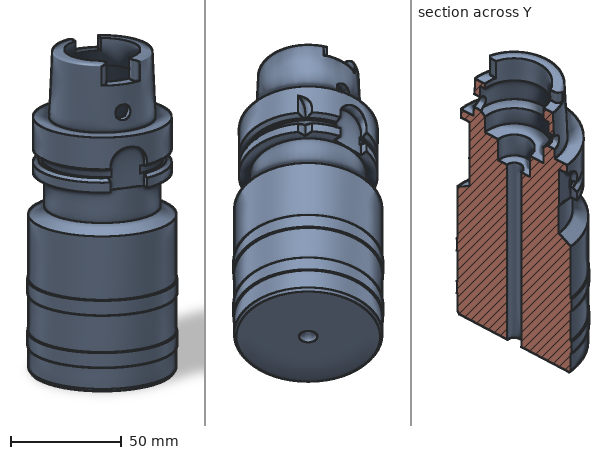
import cadquery as cq
import math

total_height = 152
taper_length = 31.9
flange_height = 26.1
neck_height = 16.0
shoulder_height = 4.1
flange_top = total_height - taper_length
flange_bottom = flange_top - flange_height
shoulder_top = flange_bottom - neck_height
body_top = shoulder_top - shoulder_height

body_radius = 33.6
band_chamfer = 0.38
band_radius = body_radius + band_chamfer
band_height = 7.6
band_bottoms = [11.4, 36.2]
bottom_chamfer_height = 1.5
bottom_chamfer_width = 1.0

neck_radius = 26.5
flange_radius = 31.5
groove_radius = 27.5
groove_width = 3.6
lower_rim_height = 6.1
groove_bottom = flange_bottom + lower_rim_height
groove_top = groove_bottom + groove_width
groove_lip_height = 1.4
groove_lip_width = 2.5

taper_base_radius = 24.2
taper_ratio = 0.045
taper_top_radius = taper_base_radius - taper_length * taper_ratio
taper_rounding = 1.4

bore_radius = 17.2
undercut_radius = 20.0
undercut_start_depth = 12.9
undercut_end_depth = 26.1
bore_depth = 38.0
counterbore_radius = 9.3
counterbore_depth = 12.2
through_hole_radius = 4.1

slot_width = 12.5
slot_edge_radius = 2.3
near_slot_depth = 6.0
far_slot_depth = 9.9

cross_hole_radius = 3.6
cross_hole_depth = 23.0

keyway_floor = 26.6
keyway_top_gap = 5.2
keyway_arch_top = flange_top - keyway_top_gap
near_keyway_width = 16.1
far_keyway_width = 18.0
notch_corner = 19.9
notch_width = 16.1
notch_top_gap = 4.3
notch_arch_top = flange_top - notch_top_gap


def outer_profile():
    """Half section of the outside, from the axis at the bottom to the axis at the top."""
    profile = (
        cq.Workplane("XZ")
        .lineTo(body_radius - bottom_chamfer_width, 0)
        .lineTo(body_radius, bottom_chamfer_height)
    )
    for bottom in band_bottoms:
        top = bottom + band_height
        profile = (
            profile.lineTo(body_radius, bottom)
            .lineTo(band_radius, bottom + band_chamfer)
            .lineTo(band_radius, top - band_chamfer)
            .lineTo(body_radius, top)
        )
    lip_radius = flange_radius - groove_lip_width
    return (
        profile.lineTo(body_radius, body_top)
        .lineTo(neck_radius, shoulder_top)
        .lineTo(neck_radius, flange_bottom)
        .lineTo(flange_radius, flange_bottom)
        .lineTo(flange_radius, groove_bottom - groove_lip_height)
        .lineTo(lip_radius, groove_bottom)
        .lineTo(groove_radius, groove_bottom)
        .lineTo(groove_radius, groove_top)
        .lineTo(lip_radius, groove_top)
        .lineTo(flange_radius, groove_top + groove_lip_height)
        .lineTo(flange_radius, flange_top)
        .lineTo(taper_base_radius, flange_top)
        .lineTo(taper_top_radius, total_height)
        .lineTo(0, total_height)
        .close()
    )


def bore_cavity():
    """Stepped inner bore with a wider undercut that closes in a 45 degree cone."""
    undercut_top = total_height - undercut_start_depth
    undercut_bottom = total_height - undercut_end_depth
    cone_bottom = undercut_bottom - (undercut_radius - bore_radius)
    bore_floor = total_height - bore_depth
    counterbore_floor = bore_floor - counterbore_depth
    return (
        cq.Workplane("XZ")
        .lineTo(through_hole_radius, 0)
        .lineTo(through_hole_radius, counterbore_floor)
        .lineTo(counterbore_radius, counterbore_floor)
        .lineTo(counterbore_radius, bore_floor)
        .lineTo(bore_radius, bore_floor)
        .lineTo(bore_radius, cone_bottom)
        .lineTo(undercut_radius, undercut_bottom)
        .lineTo(undercut_radius, undercut_top)
        .lineTo(bore_radius, undercut_top)
        .lineTo(bore_radius, total_height)
        .lineTo(0, total_height)
        .close()
        .revolve(360, (0, 0, 0), (0, 1, 0))
    )


def drive_slot(side, depth):
    """Slot towards +X (side = 1) or -X (side = -1), flaring out at the outer wall."""
    half_width = slot_width / 2
    floor = total_height - depth
    centre_y = half_width + slot_edge_radius
    centre_distance = taper_top_radius - slot_edge_radius
    centre_angle = math.asin(centre_y / centre_distance)
    centre_x = centre_distance * math.cos(centre_angle)
    flare_x = taper_top_radius * math.cos(centre_angle)
    flare_y = taper_top_radius * math.sin(centre_angle)
    middle_angle = (centre_angle - math.pi / 2) / 2
    middle_x = centre_x + slot_edge_radius * math.cos(middle_angle)
    middle_y = centre_y + slot_edge_radius * math.sin(middle_angle)
    return (
        cq.Workplane("XY", origin=(0, 0, floor))
        .moveTo(0, -half_width)
        .lineTo(side * centre_x, -half_width)
        .threePointArc((side * middle_x, -middle_y), (side * flare_x, -flare_y))
        .lineTo(side * flange_radius, -flare_y)
        .lineTo(side * flange_radius, flare_y)
        .lineTo(side * flare_x, flare_y)
        .threePointArc((side * middle_x, middle_y), (side * centre_x, half_width))
        .lineTo(0, half_width)
        .close()
        .extrude(depth)
    )


def arched_cutter(width, arch_top, centre_y, floor_x, side):
    """Round-topped keyway cutter, open downwards, from its flat floor outwards along X."""
    half_width = width / 2
    arch_centre = arch_top - half_width
    return (
        cq.Workplane("YZ", origin=(side * floor_x, 0, 0))
        .moveTo(centre_y - half_width, flange_bottom)
        .lineTo(centre_y - half_width, arch_centre)
        .threePointArc((centre_y, arch_top), (centre_y + half_width, arch_centre))
        .lineTo(centre_y + half_width, flange_bottom)
        .close()
        .extrude(side * flange_radius)
    )


result = outer_profile().revolve(360, (0, 0, 0), (0, 1, 0))
result = result.faces(">Z").edges().fillet(taper_rounding)
result = result.cut(bore_cavity())

result = result.cut(drive_slot(-1, near_slot_depth))
result = result.cut(drive_slot(1, far_slot_depth))

cross_hole = (
    cq.Workplane("YZ", origin=(0, 0, total_height - cross_hole_depth))
    .circle(cross_hole_radius)
    .extrude(flange_radius, both=True)
)
result = result.cut(cross_hole)

notch_centre = notch_corner + notch_width / 2
result = result.cut(arched_cutter(near_keyway_width, keyway_arch_top, 0, keyway_floor, -1))
result = result.cut(arched_cutter(far_keyway_width, keyway_arch_top, 0, keyway_floor, 1))
result = result.cut(arched_cutter(notch_width, notch_arch_top, notch_centre, notch_corner, -1))